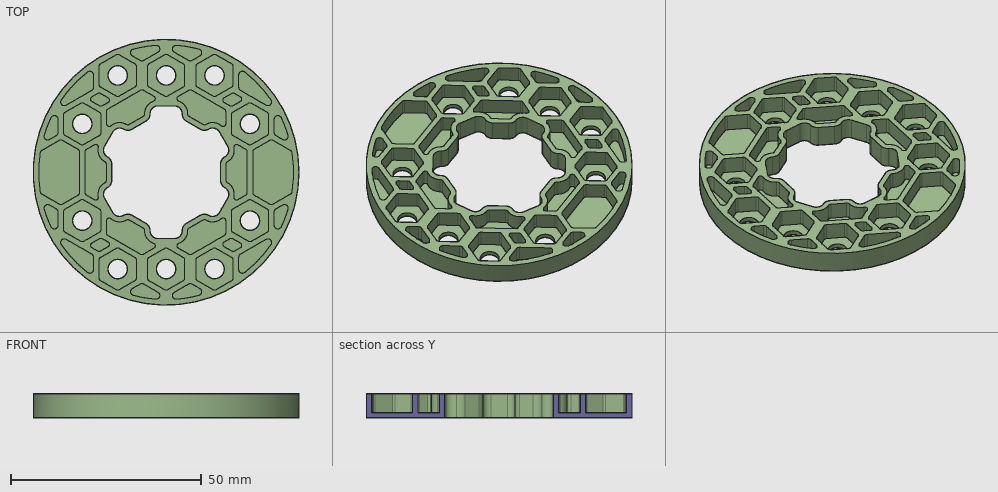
import cadquery as cq
import math

disc_radius = 34.9
thickness = 6.35
pocket_depth = 4.95
floor_z = thickness - pocket_depth
wall = 1.5

bolt_circle_radius = 25.4
bolt_hole_diameter = 5.0
cell_width = bolt_circle_radius / 2
hex_pocket_width = cell_width - 2 * wall
wall_middle = (cell_width - wall) / 2

corner_radius = 0.7
rim_corner_radius = 1.0
rim_pocket_distance = 30.05

bore_flat_distance = 14.25
lobe_end_distance = 17.4
lobe_half_width = 4.2
lobe_end_fillet = 2.0
lobe_root_fillet = 2.25
position_tolerance = 0.01


def polar(radius, angle):
    return (radius * math.cos(math.radians(angle)), radius * math.sin(math.radians(angle)))


def shifted(point, distance, angle):
    dx, dy = polar(distance, angle)
    return (point[0] + dx, point[1] + dy)


row_y = bolt_circle_radius
cell_centres = [(x, y) for x in (-cell_width, 0, cell_width) for y in (-row_y, row_y)]
cell_centres += [polar(bolt_circle_radius, angle) for angle in (30, 150, 210, 330)]


def hex_prism(width, height):
    """Hexagon with flats facing +X and -X, standing on Z = 0."""
    across_corners = width / math.cos(math.radians(30))
    return cq.Workplane("XY").polygon(6, across_corners).extrude(height).rotate((0, 0, 0), (0, 0, 1), 30)


def fillet_upright_edges(prism, axis_distance, radius):
    """Fillet the upright edges that stand at the given distance from the Z axis."""
    picked = []
    for edge in prism.edges("|Z").vals():
        centre = edge.Center()
        if abs(math.hypot(centre.x, centre.y) - axis_distance) < position_tolerance:
            picked.append(edge)
    return prism.newObject(picked).fillet(radius)


def bore_prism(growth, height):
    """Bore volume with its whole outline moved outward by growth."""
    flat = bore_flat_distance + growth
    lobe_end = lobe_end_distance + growth
    half_width = lobe_half_width + growth
    lobe_root = (flat - half_width * math.sin(math.radians(30))) / math.cos(math.radians(30))
    outline = []
    for lobe_angle in range(30, 390, 60):
        for along, across in (
            (lobe_root, -half_width),
            (lobe_end, -half_width),
            (lobe_end, half_width),
            (lobe_root, half_width),
        ):
            outline.append(shifted(polar(along, lobe_angle), across, lobe_angle + 90))
    prism = cq.Workplane("XY").polyline(outline).close().extrude(height)
    prism = fillet_upright_edges(prism, math.hypot(lobe_end, half_width), lobe_end_fillet + growth)
    return fillet_upright_edges(prism, math.hypot(lobe_root, half_width), lobe_root_fillet - growth)


def rib(start, angle, length):
    """Straight wall running from start, used to divide the space between cells."""
    return (
        cq.Workplane("XY")
        .box(length, wall, pocket_depth, centered=(False, True, False))
        .rotate((0, 0, 0), (0, 0, 1), angle)
        .translate((start[0], start[1], 0))
    )


def quarter_ribs():
    """Ribs of the +X +Y quarter."""
    row_cell = (cell_width, row_y)
    side_cell = polar(bolt_circle_radius, 30)
    reach = cell_width
    rim_reach = disc_radius - bolt_circle_radius
    return [
        rib(shifted(side_cell, wall_middle, 60), 150, reach),
        rib(shifted(row_cell, wall_middle, 240), 330, reach),
        rib(side_cell, 330, reach),
        rib(side_cell, 270, side_cell[1]),
        rib(side_cell, 30, rim_reach),
        rib((0, row_y), 90, rim_reach),
    ]


def web_region():
    """Everything between the rim and bore walls that is not a cell or a rib."""
    region = cq.Workplane("XY").circle(disc_radius - wall).extrude(pocket_depth)
    region = region.cut(bore_prism(wall, pocket_depth))
    cell = hex_prism(cell_width, pocket_depth)
    for x, y in cell_centres:
        region = region.cut(cell.translate((x, y, 0)))
    for bar in quarter_ribs():
        mirrored_bar = bar.mirror("YZ")
        for copy in (bar, mirrored_bar, bar.mirror("XZ"), mirrored_bar.mirror("XZ")):
            region = region.cut(copy)
    return region


def rounded_pocket(piece):
    """Piece with its outward corners rounded, by shrinking its outline and growing it back."""
    centre = piece.Center()
    on_rim = math.hypot(centre.x, centre.y) > rim_pocket_distance
    radius = rim_corner_radius if on_rim else corner_radius
    outline = cq.Workplane(piece).faces("<Z").wires().val()
    shrunk = outline.offset2D(-radius)[0]
    rounded = shrunk.offset2D(radius)[0]
    return cq.Workplane("XY").add(rounded).toPending().extrude(pocket_depth)


result = cq.Workplane("XY").circle(disc_radius).extrude(thickness)
result = result.cut(bore_prism(0, thickness))
bolt_holes = cq.Workplane("XY").pushPoints(cell_centres).circle(bolt_hole_diameter / 2).extrude(thickness)
result = result.cut(bolt_holes)

hex_pocket = hex_prism(hex_pocket_width, pocket_depth).edges("|Z").fillet(corner_radius)
for x, y in cell_centres:
    result = result.cut(hex_pocket.translate((x, y, floor_z)))

for piece in web_region().solids().vals():
    result = result.cut(rounded_pocket(piece).translate((0, 0, floor_z)))